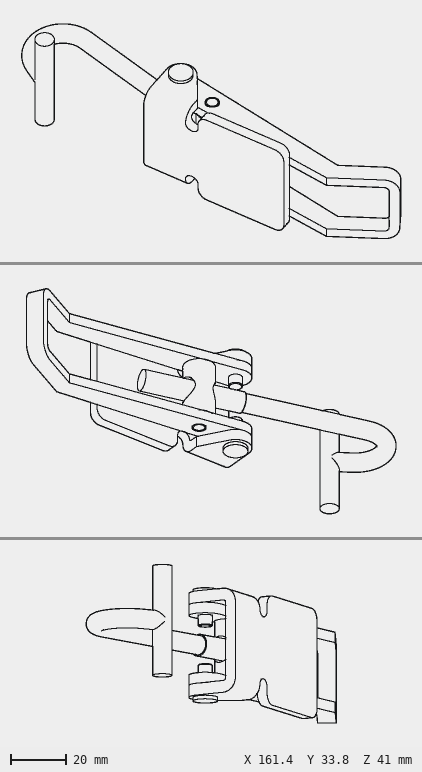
import cadquery as cq
import math


PIVOT_HEIGHT = 16.0
EYE_RADIUS = 6.0
RIVET_RADIUS = 2.6
RIVET_HEAD_RADIUS = 4.5
RIVET_HEAD_HEIGHT = 1.3
RIVET_TIP_Z = 7.1
RIVET_TIP_CHAMFER = 0.3

LEVER_HALF_WIDTH = 14.8
ARM_THICKNESS = 3.9
SLOT_HALF_WIDTH = LEVER_HALF_WIDTH - ARM_THICKNESS
LEVER_KNEE_TOP = (70.8, 9.8)
GRIP_ANGLE = 28.6
GRIP_DEPTH = 6.8
GRIP_END_X = 94.2
GRIP_CORNER_RADIUS = 5.8

PLATE_THICKNESS = 4.0
BASE_HALF_WIDTH = 19.2
EAR_THICKNESS = BASE_HALF_WIDTH - LEVER_HALF_WIDTH
EAR_FRONT_X = 12.0
EAR_SHOULDER_HEIGHT = 8.4
BEND_RADIUS = 5.2
BEND_INNER_RADIUS = BEND_RADIUS - PLATE_THICKNESS
TONGUE_END_X = 53.9
TONGUE_HALF_WIDTH = 20.2
TONGUE_CORNER_RADIUS = 3.9
NOTCH_WIDTH = 5.3
NOTCH_BOTTOM_Z = 11.5

TRUNNION_X = 14.8
TRUNNION_Y = 13.7
TRUNNION_RADIUS = 6.0
TRUNNION_END_RADIUS = 2.6
TRUNNION_END_CHAMFER = 0.5
TRUNNION_BORE_RADIUS = 4.8

ROD_RADIUS = 3.5
TAIL_RADIUS = 4.0
ROD_ANGLE = 14.2
ROD_REACH = 66.2
TAIL_START = 17.0
TAIL_END = 22.6
HOOK_BEND_RADIUS = 11.5
FOOT_ANGLE = 32.0
FOOT_LENGTH = 8.2
CROSSBAR_RADIUS = ROD_RADIUS
CROSSBAR_HALF_LENGTH = 20.2


def polar(origin, radius, degrees):
    """Point at a radius and angle from an origin, in the XY plane."""
    turn = math.radians(degrees)
    return (origin[0] + radius * math.cos(turn), origin[1] + radius * math.sin(turn))


def tangent_angle(point, side):
    """Angle on the eye circle where a line from a point touches it (side = +1 or -1)."""
    dx = point[0]
    dy = point[1] - PIVOT_HEIGHT
    swing = math.degrees(math.acos(EYE_RADIUS / math.hypot(dx, dy)))
    return math.degrees(math.atan2(dy, dx)) + side * swing


def cylinder_z(x, y, radius, z_low, z_high):
    return cq.Workplane("XY", origin=(x, y, z_low)).circle(radius).extrude(z_high - z_low)


PIVOT = (0, PIVOT_HEIGHT)


def rivet_hole():
    return cylinder_z(*PIVOT, RIVET_RADIUS, -BASE_HALF_WIDTH, BASE_HALF_WIDTH)


def make_base():
    channel_length = EYE_RADIUS + EAR_FRONT_X
    ear_top = PIVOT_HEIGHT + EYE_RADIUS
    inner_half_width = BASE_HALF_WIDTH - EAR_THICKNESS
    channel = (
        cq.Workplane("XY")
        .box(channel_length, ear_top, 2 * BASE_HALF_WIDTH, centered=(False, False, True))
        .edges("|X and <Y").fillet(BEND_RADIUS)
    )
    inside = (
        cq.Workplane("XY", origin=(0, PLATE_THICKNESS, 0))
        .box(channel_length, ear_top, 2 * inner_half_width, centered=(False, False, True))
        .edges("|X and <Y").fillet(BEND_INNER_RADIUS)
    )
    channel = channel.cut(inside).translate((-EYE_RADIUS, 0, 0))

    shoulder = (EAR_FRONT_X, EAR_SHOULDER_HEIGHT)
    ear_outline = (
        cq.Workplane("XY", origin=(0, 0, -BASE_HALF_WIDTH))
        .moveTo(-EYE_RADIUS, 0)
        .lineTo(-EYE_RADIUS, PIVOT_HEIGHT)
        .threePointArc(
            (0, PIVOT_HEIGHT + EYE_RADIUS),
            polar(PIVOT, EYE_RADIUS, tangent_angle(shoulder, 1)),
        )
        .lineTo(*shoulder)
        .lineTo(EAR_FRONT_X, 0)
        .close()
        .extrude(2 * BASE_HALF_WIDTH)
    )
    channel = channel.intersect(ear_outline)

    tongue_start = EAR_FRONT_X + NOTCH_WIDTH
    tongue = (
        cq.Workplane("XY", origin=(tongue_start, 0, 0))
        .box(TONGUE_END_X - tongue_start, PLATE_THICKNESS, 2 * TONGUE_HALF_WIDTH,
             centered=(False, False, True))
        .edges("|Y").fillet(TONGUE_CORNER_RADIUS)
    )
    notch_radius = NOTCH_WIDTH / 2
    notch_centre_x = EAR_FRONT_X + notch_radius
    notch_centre_z = NOTCH_BOTTOM_Z + notch_radius
    neck = cq.Workplane("XY", origin=(EAR_FRONT_X, 0, 0)).box(
        NOTCH_WIDTH, PLATE_THICKNESS, 2 * notch_centre_z, centered=(False, False, True)
    )
    for side in (-1, 1):
        neck = neck.cut(
            cq.Workplane("XZ", origin=(notch_centre_x, 0, side * notch_centre_z))
            .circle(notch_radius)
            .extrude(-PLATE_THICKNESS)
        )
    return channel.union(neck).union(tongue).cut(rivet_hole())


GRIP_END_LOW = (
    GRIP_END_X,
    LEVER_KNEE_TOP[1]
    + (GRIP_END_X - LEVER_KNEE_TOP[0]) * math.tan(math.radians(GRIP_ANGLE))
    - GRIP_DEPTH / math.cos(math.radians(GRIP_ANGLE)),
)
GRIP_END_HIGH = polar(GRIP_END_LOW, GRIP_DEPTH, GRIP_ANGLE + 90)
LEVER_KNEE_LOW = (
    LEVER_KNEE_TOP[0],
    LEVER_KNEE_TOP[1] - GRIP_DEPTH / math.cos(math.radians(GRIP_ANGLE)),
)


def rounded_bar(half_width, corner_radius, setback):
    """Bar along the grip direction, wide enough in depth to hold the whole lever,
    ending a setback short of the grip end with rounded corners."""
    length = 2 * GRIP_END_X
    depth = 2 * GRIP_END_X
    return (
        cq.Workplane("XY")
        .box(length, depth, 2 * half_width)
        .edges("|Y and >X").fillet(corner_radius)
        .translate((-length / 2 - setback, 0, 0))
        .rotate((0, 0, 0), (0, 0, 1), GRIP_ANGLE)
        .translate((*GRIP_END_LOW, 0))
    )


def make_lever():
    profile = (
        cq.Workplane("XY", origin=(0, 0, -LEVER_HALF_WIDTH))
        .moveTo(*polar(PIVOT, EYE_RADIUS, tangent_angle(LEVER_KNEE_TOP, 1)))
        .threePointArc(
            (-EYE_RADIUS, PIVOT_HEIGHT),
            polar(PIVOT, EYE_RADIUS, tangent_angle(LEVER_KNEE_LOW, -1)),
        )
        .lineTo(*LEVER_KNEE_LOW)
        .lineTo(*GRIP_END_LOW)
        .lineTo(*GRIP_END_HIGH)
        .lineTo(*LEVER_KNEE_TOP)
        .close()
        .extrude(2 * LEVER_HALF_WIDTH)
    )
    slot_corner_radius = GRIP_CORNER_RADIUS - ARM_THICKNESS
    outside = rounded_bar(LEVER_HALF_WIDTH, GRIP_CORNER_RADIUS, 0)
    slot = rounded_bar(SLOT_HALF_WIDTH, slot_corner_radius, ARM_THICKNESS)
    trunnion_holes = trunnion_pin()
    return profile.intersect(outside).cut(slot).cut(rivet_hole()).cut(trunnion_holes)


def trunnion_pin():
    return cylinder_z(
        TRUNNION_X, TRUNNION_Y, TRUNNION_END_RADIUS, -LEVER_HALF_WIDTH, LEVER_HALF_WIDTH
    )


def rod_plane(distance):
    """Plane across the rod axis, a distance from the trunnion towards the hook."""
    towards_hook = 180 - ROD_ANGLE
    x, y = polar((TRUNNION_X, TRUNNION_Y), distance, towards_hook)
    return cq.Plane(
        origin=(x, y, 0), xDir=(0, 0, 1), normal=(*polar((0, 0), 1, towards_hook), 0)
    )


def make_trunnion():
    barrel = cylinder_z(
        TRUNNION_X, TRUNNION_Y, TRUNNION_RADIUS, -SLOT_HALF_WIDTH, SLOT_HALF_WIDTH
    )
    ends = trunnion_pin().faces("<Z or >Z").chamfer(TRUNNION_END_CHAMFER)
    bore = (
        cq.Workplane(rod_plane(-2 * TRUNNION_RADIUS))
        .circle(TRUNNION_BORE_RADIUS)
        .extrude(4 * TRUNNION_RADIUS)
    )
    return barrel.union(ends).cut(bore)


def make_hook():
    trunnion = (TRUNNION_X, TRUNNION_Y)
    tail_start = polar(trunnion, TAIL_START, 180 - ROD_ANGLE)
    bend_start = polar(trunnion, ROD_REACH, 180 - ROD_ANGLE)
    bend_centre = polar(bend_start, HOOK_BEND_RADIUS, -90 - ROD_ANGLE)
    bend_middle = polar(bend_centre, HOOK_BEND_RADIUS, 180)
    bend_end = polar(bend_centre, HOOK_BEND_RADIUS, 270 - FOOT_ANGLE)
    foot_end = polar(bend_end, FOOT_LENGTH, -FOOT_ANGLE)
    path = (
        cq.Workplane("XY")
        .moveTo(*tail_start)
        .lineTo(*bend_start)
        .threePointArc(bend_middle, bend_end)
        .lineTo(*foot_end)
    )
    rod = cq.Workplane(rod_plane(TAIL_START)).circle(ROD_RADIUS).sweep(path)
    tail = (
        cq.Workplane(rod_plane(-TAIL_END))
        .circle(TAIL_RADIUS)
        .extrude(TAIL_START + TAIL_END)
    )
    crossbar = cylinder_z(
        *foot_end, CROSSBAR_RADIUS, -CROSSBAR_HALF_LENGTH, CROSSBAR_HALF_LENGTH
    )
    return rod.union(tail).union(crossbar)


def make_rivet(side):
    """Rivet with its head on the outer face of the ear at side * Z."""
    shank = (
        cylinder_z(*PIVOT, RIVET_RADIUS, RIVET_TIP_Z, BASE_HALF_WIDTH)
        .faces("<Z").chamfer(RIVET_TIP_CHAMFER)
    )
    head = cylinder_z(
        *PIVOT, RIVET_HEAD_RADIUS, BASE_HALF_WIDTH, BASE_HALF_WIDTH + RIVET_HEAD_HEIGHT
    )
    rivet = shank.union(head)
    return rivet if side > 0 else rivet.mirror("XY")


base = make_base()
lever = make_lever()
trunnion = make_trunnion()
hook = make_hook()
rivets = [make_rivet(side) for side in (-1, 1)]

result = cq.Compound.makeCompound(
    [base.val(), lever.val(), trunnion.val(), hook.val(), *[rivet.val() for rivet in rivets]]
)